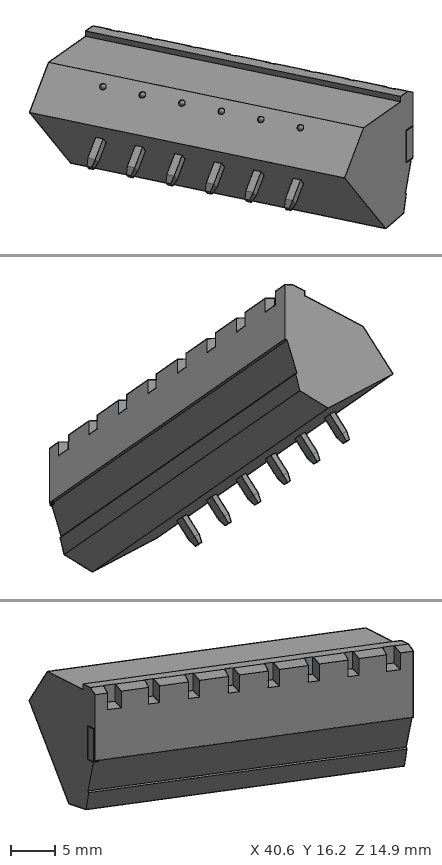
import cadquery as cq
import math

LENGTH = 40.64
DEPTH = 16.2
HEIGHT = 14.9

TOP_DECK_Z = 14.25
RIM_WIDTH = 2.95
RIM_BEVEL_DEPTH = 1.2
RIM_BEVEL_DROP = 0.55
DECK_FRONT_Y = -11.7
NOSE_Z = TOP_DECK_Z - (DEPTH + DECK_FRONT_Y)
BOTTOM_EDGE_Y = -(DEPTH - NOSE_Z)
BOTTOM_BACK_Y = -2.2
BOTTOM_BACK_Z = 0.35
BACK_LIP_Y = -1.58
BACK_LIP_Z = 2.5
BACK_SLOPE_END_Y = -1.78
BACK_SLOPE_END_Z = 2.65
BACK_STEP_DEPTH = 0.3
BACK_STEP_Z = 6.6

CONTACT_COUNT = 6
PITCH = 5.08
PIN_WIDTH = 0.95
PIN_THICKNESS = 1.0
PIN_TIP_SIZE = 0.6
PIN_STRAIGHT_LENGTH = 2.62
PIN_TIP_LENGTH = 0.95
PIN_EMBED = 1.0
PIN_Y = -13.3
DOME_RADIUS = 0.38
DOME_Y = -12.8

SLOT_DEPTH = 1.3
SLOT_BACK_WIDTH = 1.4
SLOT_FRONT_WIDTH = 1.08
END_SLOT_BACK_WIDTH = 1.75
END_SLOT_FRONT_WIDTH = 1.47
END_SLOT_INSET = 2.55
SLOT_FLOOR_BACK_Z = 12.4
SLOT_FLOOR_ANGLE = 20.0

PAD_THICKNESS = 0.1
PAD_BACK_Y = -0.2
PAD_FRONT_Y = -1.7
PAD_BOTTOM_Z = 6.4
PAD_TOP_Z = 10.3

LEFT_END_X = -LENGTH / 2
RIGHT_END_X = LENGTH / 2 - PAD_THICKNESS

OVERLAP = 0.5


def contact_positions():
    """X positions of the contacts, centred on X = 0."""
    first = -(CONTACT_COUNT - 1) * PITCH / 2
    return [first + i * PITCH for i in range(CONTACT_COUNT)]


def make_housing():
    """Constant cross-section extruded along X."""
    outline = [
        (0, HEIGHT - RIM_BEVEL_DROP),
        (-RIM_BEVEL_DEPTH, HEIGHT),
        (-RIM_WIDTH, HEIGHT),
        (-RIM_WIDTH, TOP_DECK_Z),
        (DECK_FRONT_Y, TOP_DECK_Z),
        (-DEPTH, NOSE_Z),
        (BOTTOM_EDGE_Y, 0),
        (BOTTOM_BACK_Y, BOTTOM_BACK_Z),
        (BACK_LIP_Y, BACK_LIP_Z),
        (BACK_SLOPE_END_Y, BACK_SLOPE_END_Z),
        (-BACK_STEP_DEPTH, BACK_STEP_Z),
        (0, BACK_STEP_Z),
    ]
    left_end = cq.Workplane("YZ", origin=(LEFT_END_X, 0, 0))
    return left_end.polyline(outline).close().extrude(RIGHT_END_X - LEFT_END_X)


def make_slot(x, back_width, front_width):
    """Cutter for a slot open to the back and top, narrowing forward, with a sloping floor."""
    taper = (back_width - front_width) / (2 * SLOT_DEPTH)
    outer_half = back_width / 2 + taper * OVERLAP
    plan = [
        (x - outer_half, OVERLAP),
        (x + outer_half, OVERLAP),
        (x + front_width / 2, -SLOT_DEPTH),
        (x - front_width / 2, -SLOT_DEPTH),
    ]
    prism = cq.Workplane("XY").polyline(plan).close().extrude(HEIGHT + OVERLAP)
    slope = math.tan(math.radians(SLOT_FLOOR_ANGLE))
    side = [
        (OVERLAP, SLOT_FLOOR_BACK_Z - slope * OVERLAP),
        (OVERLAP, HEIGHT + OVERLAP),
        (-SLOT_DEPTH, HEIGHT + OVERLAP),
        (-SLOT_DEPTH, SLOT_FLOOR_BACK_Z + slope * SLOT_DEPTH),
    ]
    above_floor = (
        cq.Workplane("YZ", origin=(x, 0, 0)).polyline(side).close().extrude(back_width, both=True)
    )
    return prism.intersect(above_floor)


def make_pin(x):
    """Rectangular pin with a tapered tip, square to the lower front face."""
    surface_z = NOSE_Z - (PIN_Y + DEPTH)
    surface = cq.Plane(origin=(x, PIN_Y, surface_z), xDir=(1, 0, 0), normal=(0, -1, -1))
    shank = (
        cq.Workplane(surface)
        .workplane(offset=-PIN_EMBED)
        .rect(PIN_WIDTH, PIN_THICKNESS)
        .extrude(PIN_EMBED + PIN_STRAIGHT_LENGTH)
    )
    tip = (
        cq.Workplane(surface)
        .workplane(offset=PIN_STRAIGHT_LENGTH)
        .rect(PIN_WIDTH, PIN_THICKNESS)
        .workplane(offset=PIN_TIP_LENGTH)
        .rect(PIN_TIP_SIZE, PIN_TIP_SIZE)
        .loft()
    )
    return shank.union(tip)


def make_dome(x):
    """Ball centred on the upper front face, leaving a half-round bump."""
    surface_z = TOP_DECK_Z - (DECK_FRONT_Y - DOME_Y)
    return cq.Workplane("XY", origin=(x, DOME_Y, surface_z)).sphere(DOME_RADIUS)


def make_end_pad():
    """Thin rectangular pad standing on the +X end face."""
    pad_depth = PAD_BACK_Y - PAD_FRONT_Y
    pad_height = PAD_TOP_Z - PAD_BOTTOM_Z
    corner = (RIGHT_END_X - OVERLAP, PAD_FRONT_Y, PAD_BOTTOM_Z)
    pad = cq.Workplane("XY", origin=corner)
    return pad.box(OVERLAP + PAD_THICKNESS, pad_depth, pad_height, centered=False)


result = make_housing()

for contact_x in contact_positions():
    result = result.cut(make_slot(contact_x, SLOT_BACK_WIDTH, SLOT_FRONT_WIDTH))
    result = result.union(make_pin(contact_x))
    result = result.union(make_dome(contact_x))

for end in (-1, 1):
    end_slot_x = end * (LENGTH / 2 - END_SLOT_INSET)
    result = result.cut(make_slot(end_slot_x, END_SLOT_BACK_WIDTH, END_SLOT_FRONT_WIDTH))

result = result.union(make_end_pad())